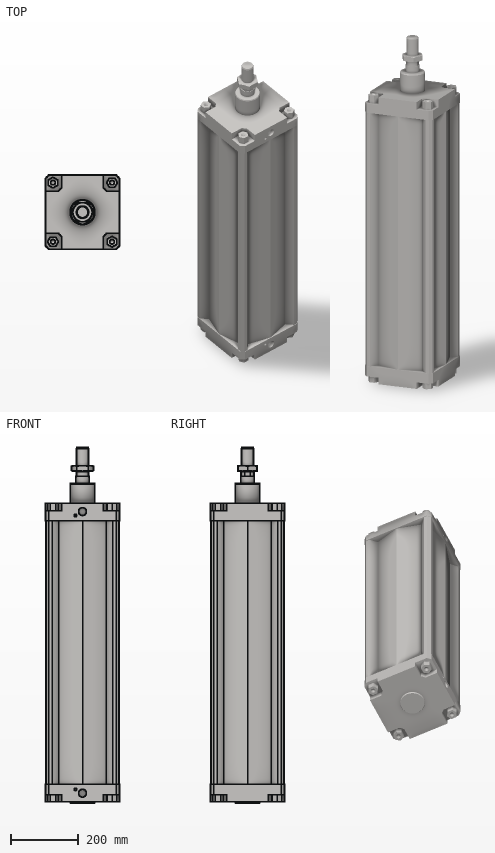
import cadquery as cq
import math

total_height = 1052.0
rear_boss_height = 4.0
cap_height = 52.0
front_cap_top = 887.0
collar_top = 946.0
front_cap_base = front_cap_top - cap_height
rear_cap_base = rear_boss_height
rear_cap_top = rear_cap_base + cap_height

cap_side = 220.0
cap_corner_chamfer = 10.0
recess_side = 48.0
recess_chamfer = 10.0
front_recess_depth = 23.0
rear_recess_depth = 20.0

tie_nut_across_flats = 27.0
tie_nut_offset = 87.0
tie_socket_diameter = 14.0
tie_socket_depth = 6.0

barrel_side = 217.0
barrel_corner_chamfer = 8.0
valley_offset = 70.0
valley_depth = 19.0
valley_end_offset = valley_offset + valley_depth

boss_diameter = 74.0
boss_chamfer_width = 1.6
boss_chamfer_length = 3.0

port_diameter = 23.0
port_depth = 21.0
port_height_in_cap = 25.0
cushion_diameter = 7.0
cushion_depth = 10.0
cushion_offset = -21.0
cushion_drop = 12.0

rod_diameter = 41.0
rod_shoulder = 966.0
neck_diameter = 39.0
neck_across_flats = 36.0
neck_top = 979.0
rod_base = front_cap_top
thread_diameter = 36.0
thread_chamfer_width = 1.6
thread_chamfer_length = 4.0

nut_across_flats = 57.0
nut_base = 982.0
nut_height = 16.0
nut_chamfer_angle = 20.0


def hexagon_corners(across_flats):
    """Diameter of the circle through the corners of a hexagon."""
    return across_flats / math.cos(math.pi / 6)


def quarter_turns(shape):
    """Four copies of a shape, one for each quarter turn about Z."""
    return [shape.rotate((0, 0, 0), (0, 0, 1), 90 * turn) for turn in range(4)]


def make_cap(base, recess_base, recess_depth, outer_face, inward):
    """Chamfered square cap with a recess and a tie-rod nut in each corner.

    The conical nut sockets start at the height outer_face and point along Z in the inward sense.
    """
    cap = (
        cq.Workplane("XY", origin=(0, 0, base))
        .rect(cap_side, cap_side)
        .extrude(cap_height)
        .edges("|Z")
        .chamfer(cap_corner_chamfer)
    )
    recess = (
        cq.Workplane("XY", origin=(-cap_side / 2, -cap_side / 2, recess_base))
        .rect(2 * recess_side, 2 * recess_side)
        .extrude(recess_depth)
        .edges("|Z and >X and >Y")
        .chamfer(recess_chamfer)
    )
    tie_nut = (
        cq.Workplane("XY", origin=(-tie_nut_offset, -tie_nut_offset, recess_base))
        .polygon(6, hexagon_corners(tie_nut_across_flats))
        .extrude(recess_depth)
    )
    socket = cq.Workplane(
        cq.Solid.makeCone(
            tie_socket_diameter / 2,
            0,
            tie_socket_depth,
            pnt=cq.Vector(-tie_nut_offset, -tie_nut_offset, outer_face),
            dir=cq.Vector(0, 0, inward),
        )
    )
    for corner in quarter_turns(recess):
        cap = cap.cut(corner)
    for corner in quarter_turns(tie_nut.cut(socket)):
        cap = cap.union(corner)
    return cap


def make_barrel():
    """Square barrel with two V-shaped valleys along each side."""
    half = barrel_side / 2
    barrel = (
        cq.Workplane("XY", origin=(0, 0, rear_cap_top))
        .rect(barrel_side, barrel_side)
        .extrude(front_cap_base - rear_cap_top)
        .edges("|Z")
        .chamfer(barrel_corner_chamfer)
    )
    valleys = (
        cq.Workplane("XY", origin=(0, 0, rear_cap_top))
        .polyline([(0, -half), (valley_offset, valley_depth - half), (valley_end_offset, -half)])
        .close()
        .polyline([(0, -half), (-valley_offset, valley_depth - half), (-valley_end_offset, -half)])
        .close()
        .extrude(front_cap_base - rear_cap_top)
    )
    for side in quarter_turns(valleys):
        barrel = barrel.cut(side)
    return barrel


def make_collar():
    """Rod guide standing on the front cap."""
    return (
        cq.Workplane("XY", origin=(0, 0, front_cap_top))
        .circle(boss_diameter / 2)
        .extrude(collar_top - front_cap_top)
        .faces(">Z")
        .chamfer(boss_chamfer_length, boss_chamfer_width)
    )


def make_rear_boss():
    """Low centring boss under the rear cap."""
    return (
        cq.Workplane("XY")
        .circle(boss_diameter / 2)
        .extrude(rear_boss_height)
        .faces("<Z")
        .chamfer(boss_chamfer_length, boss_chamfer_width)
    )


def side_hole(x, z, diameter, depth):
    """Blind hole cutter going into the -Y face of a cap."""
    return (
        cq.Workplane("XZ", origin=(x, -cap_side / 2, z))
        .circle(diameter / 2)
        .extrude(-depth)
    )


def make_housing():
    """Barrel, caps and bosses as one body with its ports and its rod bore."""
    front_floor = front_cap_top - front_recess_depth
    housing = (
        make_barrel()
        .union(make_cap(rear_cap_base, rear_cap_base, rear_recess_depth, rear_cap_base, 1))
        .union(make_cap(front_cap_base, front_floor, front_recess_depth, front_cap_top, -1))
        .union(make_collar())
        .union(make_rear_boss())
    )
    rear_port_z = rear_cap_base + port_height_in_cap
    front_port_z = front_cap_top - port_height_in_cap
    for port_z, screw_z in (
        (rear_port_z, rear_port_z + cushion_drop),
        (front_port_z, front_port_z - cushion_drop),
    ):
        housing = housing.cut(side_hole(0, port_z, port_diameter, port_depth))
        housing = housing.cut(side_hole(cushion_offset, screw_z, cushion_diameter, cushion_depth))

    rod_bore = (
        cq.Workplane("XY", origin=(0, 0, rod_base))
        .circle(rod_diameter / 2)
        .extrude(collar_top - rod_base)
    )
    return housing.cut(rod_bore)


def make_rod():
    """Piston rod with a neck that has two wrench flats, and a thinner threaded end."""
    rod = (
        cq.Workplane("XY", origin=(0, 0, rod_base))
        .circle(rod_diameter / 2)
        .extrude(rod_shoulder - rod_base)
    )
    neck = (
        cq.Workplane("XY", origin=(0, 0, rod_shoulder))
        .circle(neck_diameter / 2)
        .extrude(neck_top - rod_shoulder)
    )
    between_flats = (
        cq.Workplane("XY", origin=(0, 0, rod_shoulder))
        .rect(neck_across_flats, neck_diameter)
        .extrude(neck_top - rod_shoulder)
    )
    thread = (
        cq.Workplane("XY", origin=(0, 0, neck_top))
        .circle(thread_diameter / 2)
        .extrude(total_height - neck_top)
        .faces(">Z")
        .chamfer(thread_chamfer_length, thread_chamfer_width)
    )
    return rod.union(neck.intersect(between_flats)).union(thread)


def make_lock_nut():
    """Hexagon nut whose corners are bevelled by a cone at both ends."""
    corner_radius = hexagon_corners(nut_across_flats) / 2
    flat_radius = nut_across_flats / 2
    bevel = (corner_radius - flat_radius) * math.tan(math.radians(nut_chamfer_angle))
    hexagon = (
        cq.Workplane("XY", origin=(0, 0, nut_base))
        .polygon(6, 2 * corner_radius)
        .circle(thread_diameter / 2)
        .extrude(nut_height)
    )
    envelope = (
        cq.Workplane("XZ", origin=(0, 0, nut_base))
        .moveTo(0, 0)
        .lineTo(flat_radius, 0)
        .lineTo(corner_radius, bevel)
        .lineTo(corner_radius, nut_height - bevel)
        .lineTo(flat_radius, nut_height)
        .lineTo(0, nut_height)
        .close()
        .revolve(360, (0, 0, 0), (0, 1, 0))
    )
    return hexagon.intersect(envelope)


housing = make_housing()
piston_rod = make_rod()
lock_nut = make_lock_nut()

result = cq.Compound.makeCompound([housing.val(), piston_rod.val(), lock_nut.val()])